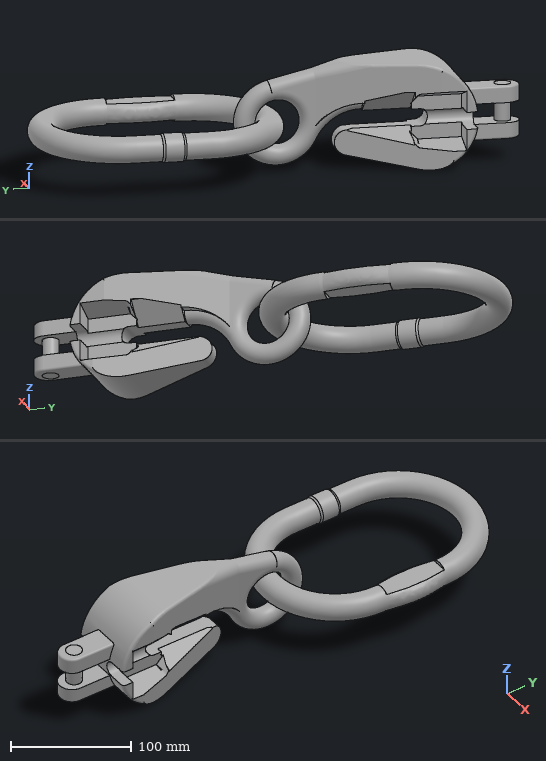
import cadquery as cq
import math


total_length = 416.89
slack = 0.1

ring_bar = 23.0
ring_bend_radius = 64.0
ring_straight = 64.0
collar_diameter = 24.73
collar_length = 20.0
collar_taper = 2.0
plate_half_thickness = 8.5
plate_half_length = 29.0
plate_half_width = 16.045
plate_flat_half_width = 10.4

eye_bar = 18.0
eye_hole_radius = 18.9
eye_bend_radius = eye_hole_radius + eye_bar / 2
eye_outer_radius = eye_hole_radius + eye_bar

top_height = 50.0
back_end = -165.0
back_radius = top_height
back_center = back_end + back_radius
belly_radius = 42.0
belly_center = back_end + belly_radius
neck_slope = math.radians(13.0)
tip_slope = math.radians(11.0)
tip_radius = 11.0
tip_center = (-58.5, -19.0)
tip_land = 4.0
throat_radius = 42.0

hook_width = 64.0
half_width = hook_width / 2
taper_start = -31.0
taper_end = -133.5
lower_taper_end = -143.5
tip_half_width = 6.0
edge_radius = 3.0
neck_edge_radius = 8.5

slot_half_height = 7.3
slot_end = -126.0
web_half_width = 9.0
pocket_back = -154.5
pocket_half_height = 18.4
pocket_mouth_half_height = 25.5
pocket_front = -106.0
pocket_inner = 12.0
flare_start = 7.0
upper_flare_slope = 1.0
lower_flare_slope = 0.8
flare_end = -112.0

lug_half_width = 12.3
lug_inner = 8.6
lug_outer = 22.8
lug_edge = 2.0
pin_diameter = 14.0
pin_setback = 2.0

ring_outer_half_length = ring_straight / 2 + ring_bend_radius + ring_bar / 2
ring_inner_half_length = ring_outer_half_length - ring_bar
ring_center_y = ring_inner_half_length + eye_hole_radius - slack
lug_end = ring_center_y + ring_outer_half_length - total_length
pin_y = lug_end + lug_half_width + pin_setback
throat_center_z = slot_half_height - throat_radius
throat_center_y = -math.sqrt((eye_outer_radius + throat_radius) ** 2 - throat_center_z ** 2)


def oval_bar():
    half = ring_straight / 2
    path = (
        cq.Workplane("XY")
        .moveTo(-ring_bend_radius, 0)
        .lineTo(-ring_bend_radius, half)
        .threePointArc((0, half + ring_bend_radius), (ring_bend_radius, half))
        .lineTo(ring_bend_radius, -half)
        .threePointArc((0, -half - ring_bend_radius), (-ring_bend_radius, -half))
        .close()
    )
    return cq.Workplane("XZ").center(-ring_bend_radius, 0).circle(ring_bar / 2).sweep(path)


def collar():
    half = collar_length / 2
    outline = [
        (0, -half),
        (ring_bar / 2, -half),
        (collar_diameter / 2, -half + collar_taper),
        (collar_diameter / 2, half - collar_taper),
        (ring_bar / 2, half),
        (0, half),
    ]
    spun = cq.Workplane("XY").polyline(outline).close().revolve(360, (0, 0), (0, 1))
    return spun.translate((-ring_bend_radius, 0, 0))


def plate_section(plane, flat_half_width, full_half_width):
    h = plate_half_thickness
    return (
        plane.moveTo(-flat_half_width, h)
        .lineTo(flat_half_width, h)
        .threePointArc((full_half_width, 0), (flat_half_width, -h))
        .lineTo(-flat_half_width, -h)
        .threePointArc((-full_half_width, 0), (-flat_half_width, h))
        .close()
    )


def name_plate():
    """Flattened swelling of the +X leg, widest in the middle."""
    end_flat = math.sqrt((ring_bar / 2) ** 2 - plate_half_thickness ** 2)
    start = cq.Workplane("XZ", origin=(ring_bend_radius, plate_half_length, 0))
    loft = plate_section(start, end_flat, ring_bar / 2)
    middle = loft.workplane(offset=plate_half_length)
    loft = plate_section(middle, plate_flat_half_width, plate_half_width)
    end = loft.workplane(offset=plate_half_length)
    loft = plate_section(end, end_flat, ring_bar / 2)
    return loft.loft()


def make_ring():
    flattened_leg = cq.Workplane("XY").box(2 * ring_bar, 2 * plate_half_length, 2 * ring_bar)
    flattened_leg = flattened_leg.translate((ring_bend_radius, 0, 0))
    ring = oval_bar().union(collar()).cut(flattened_leg).union(name_plate())
    return ring.translate((0, ring_center_y, 0))


def side_plane(x=0):
    return cq.Workplane("YZ", origin=(x, 0, 0))


def polar(center, radius, angle):
    return center[0] + radius * math.cos(angle), center[1] + radius * math.sin(angle)


def profile_solid():
    """Hook outline seen along X, with the slot of the flat link open at its mouth."""
    right_angle = math.pi / 2
    neck_start = polar((0, 0), eye_outer_radius, right_angle - neck_slope)
    neck_end_y = neck_start[0] - (top_height - neck_start[1]) / math.tan(neck_slope)
    throat_center = (throat_center_y, throat_center_z)
    toward_eye = math.atan2(-throat_center_z, -throat_center_y)
    throat_foot = polar(throat_center, throat_radius, toward_eye)
    throat_middle = polar(throat_center, throat_radius, (toward_eye + right_angle) / 2)
    down = tip_slope - right_angle
    tip_bottom = polar(tip_center, tip_radius, down)
    tip_front = polar(tip_center, tip_radius, 0)
    tip_top = polar(tip_center, tip_radius, right_angle)
    belly_bottom = polar((belly_center, 0), belly_radius, down)
    belly_middle = polar((belly_center, 0), belly_radius, -1.5 * right_angle)
    back_middle = polar((back_center, 0), back_radius, 1.5 * right_angle)
    slot_arc_start = slot_end + slot_half_height
    return (
        side_plane(-half_width)
        .moveTo(*neck_start)
        .lineTo(neck_end_y, top_height)
        .lineTo(back_center, top_height)
        .threePointArc(back_middle, (back_end, 0))
        .threePointArc(belly_middle, belly_bottom)
        .lineTo(*tip_bottom)
        .threePointArc(tip_front, tip_top)
        .lineTo(tip_top[0] - tip_land, -slot_half_height)
        .lineTo(slot_arc_start, -slot_half_height)
        .threePointArc((slot_end, 0), (slot_arc_start, slot_half_height))
        .lineTo(throat_center_y, slot_half_height)
        .threePointArc(throat_middle, throat_foot)
        .lineTo(0, 0)
        .close()
        .extrude(hook_width)
    )


def plan_outline(right_side):
    """Closed outline in plan from its +X half, at the height of the lower slot face."""
    left_side = [(-x, y) for x, y in reversed(right_side)]
    plane = cq.Workplane("XY", origin=(0, 0, -slot_half_height))
    return plane.polyline(right_side + left_side).close()


def widening_blank():
    """Hook body that widens from the neck, and from the tip of its narrower lower arm."""
    neck = eye_bar / 2
    tip_front = tip_center[0] + tip_radius
    upper_side = [
        (neck, eye_outer_radius),
        (neck, taper_start),
        (half_width, taper_end),
        (half_width, back_end),
    ]
    lower_side = [
        (neck, eye_outer_radius),
        (neck, tip_front + slack),
        (tip_half_width, tip_front),
        (half_width, lower_taper_end),
        (half_width, back_end),
    ]
    profile = profile_solid()
    upper = profile.intersect(plan_outline(upper_side).extrude(2 * top_height))
    lower = profile.intersect(plan_outline(lower_side).extrude(-top_height))
    return upper.union(lower)


def side_edges(body, y_range, z_min):
    """Edges along both side faces whose centre lies in the Y range and above z_min."""
    found = []
    for edge in body.edges().vals():
        center = edge.Center()
        runs_along_side = edge.BoundingBox().ylen > slack and abs(center.x) > eye_bar / 4
        if runs_along_side and y_range[0] < center.y < y_range[1] and center.z > z_min:
            found.append(edge)
    return body.newObject(found)


def rounded_blank():
    """Hook body with a full round on top of the neck and small rounds over the back."""
    neck_range = (taper_start - 30, 20)
    back_range = (back_end, -70)
    blank = widening_blank()
    blank = side_edges(blank, neck_range, 35).fillet(neck_edge_radius)
    return side_edges(blank, back_range, 20).fillet(edge_radius)


def flare(sign, slope, front):
    """Sloping relief of one slot face, on both sides of the middle plane."""
    rise = pocket_mouth_half_height - slot_half_height
    tool = cq.Workplane("XY")
    for side in (-1, 1):
        outline = [
            (side * flare_start, sign * slot_half_height),
            (side * (flare_start + rise / slope), sign * pocket_mouth_half_height),
            (side * hook_width, sign * pocket_mouth_half_height),
            (side * hook_width, 0),
            (side * flare_start, 0),
        ]
        start = cq.Workplane("XZ", origin=(0, front, 0))
        tool = tool.add(start.polyline(outline).close().extrude(front - flare_end))
    return tool.combine()


def throat_flare():
    """Groove that rounds the neck around the throat curve and widens to the side faces."""
    round_radius = eye_bar / 2
    side_depth = throat_radius + round_radius
    section = (
        cq.Workplane("XY", origin=(0, throat_center_y, throat_center_z))
        .moveTo(-half_width, side_depth)
        .lineTo(-round_radius, side_depth)
        .threePointArc((0, throat_radius), (round_radius, side_depth))
        .lineTo(half_width, side_depth)
        .lineTo(half_width, throat_radius - round_radius)
        .lineTo(-half_width, throat_radius - round_radius)
        .close()
    )
    return section.revolve(90, (0, 0, 0), (1, 0, 0))


def pocket(side):
    """Recess beside the web for the upright chain link, widening toward the side face."""
    ramp = pocket_half_height - slot_half_height
    depth = half_width - pocket_inner
    taper = -math.degrees(math.atan2(pocket_mouth_half_height - pocket_half_height, depth))
    outline = [
        (pocket_back - pocket_half_height, -pocket_half_height),
        (pocket_front - ramp, -pocket_half_height),
        (pocket_front, -slot_half_height),
        (pocket_front, slot_half_height),
        (pocket_front - ramp, pocket_half_height),
        (pocket_back - pocket_half_height, pocket_half_height),
    ]
    recess = side_plane(pocket_inner).polyline(outline).close().extrude(depth, taper=taper)
    height = 2 * pocket_mouth_half_height
    length = 4 * pocket_half_height
    in_front_of_back_wall = cq.Workplane("XY").box(2 * hook_width, length, height)
    in_front_of_back_wall = in_front_of_back_wall.translate((0, pocket_back + length / 2, 0))
    recess = recess.intersect(in_front_of_back_wall)
    return recess if side > 0 else recess.mirror("YZ")


def side_slot(side):
    """Slot beside the web, with a round bottom, running out through the back."""
    round_center = web_half_width + slot_half_height
    plane = cq.Workplane("XZ", origin=(0, slot_end + slot_half_height, 0))
    bottom = plane.center(side * round_center, 0).circle(slot_half_height).extrude(hook_width)
    opening = (
        plane.center(side * (round_center + half_width / 2), 0)
        .rect(half_width, 2 * slot_half_height)
        .extrude(hook_width)
    )
    return bottom.union(opening)


def eye():
    center = cq.Vector(0, 0, 0)
    axis = cq.Vector(1, 0, 0)
    torus = cq.Solid.makeTorus(eye_bend_radius, eye_bar / 2, center, axis)
    return cq.Workplane("XY").add(torus)


def lug(sign):
    """Clevis lug above (+1) or below (-1) the middle plane, with its pin hole."""
    base = lug_inner if sign > 0 else -lug_outer
    end_center = lug_end + lug_half_width
    bar = (
        cq.Workplane("XY", origin=(0, 0, base))
        .moveTo(-lug_half_width, pocket_back)
        .lineTo(-lug_half_width, end_center)
        .threePointArc((0, lug_end), (lug_half_width, end_center))
        .lineTo(lug_half_width, pocket_back)
        .close()
        .extrude(lug_outer - lug_inner)
    )
    bar = bar.faces(">Z" if sign > 0 else "<Z").edges().fillet(lug_edge)
    hole = cq.Workplane("XY").center(0, pin_y).circle(pin_diameter / 2).extrude(lug_outer, both=True)
    return bar.cut(hole)


def make_hook():
    body = rounded_blank()
    body = body.cut(side_plane().circle(eye_bend_radius).extrude(hook_width, both=True))
    body = body.cut(flare(1, upper_flare_slope, throat_center_y))
    body = body.cut(flare(-1, lower_flare_slope, tip_center[0]))
    body = body.cut(throat_flare())
    for side in (-1, 1):
        body = body.cut(pocket(side)).cut(side_slot(side))
    for sign in (-1, 1):
        body = body.union(lug(sign))
    return body.union(eye())


def make_pin():
    pin = cq.Workplane("XY", origin=(0, pin_y, -lug_outer)).circle(pin_diameter / 2)
    return pin.extrude(2 * lug_outer)


ring = make_ring()
hook = make_hook()
pin = make_pin()

result = cq.Compound.makeCompound([*ring.solids().vals(), *hook.solids().vals(), *pin.solids().vals()])